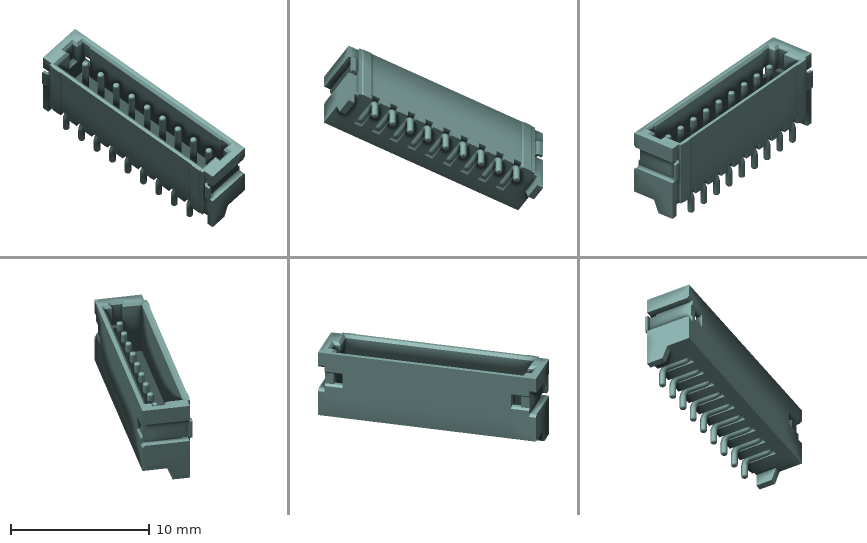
import cadquery as cq

LENGTH = 16.42
DEPTH = 3.75
HEIGHT = 6.5
HOUSING_BOTTOM = 1.48
FRONT_WALL_Y = 0.05
END_FACE_Y = 0.23
FRONT_WALL_HALF = 7.4

LEG_BOTTOM = 0.5
LEG_THICKNESS = 0.51
LEG_REAR_TOP_Y = 1.9
LEG_REAR_BOTTOM_Y = 1.51

RIB_INNER = 6.32
RIB_OUTER = 7.18
RIB_FLANK = 0.1

CAVITY_HALF = 7.06
CAVITY_FRONT_Y = 0.48
CAVITY_REAR_Y = 3.28
UPPER_FLOOR = 2.87
LOWER_FLOOR = 2.46
FLOOR_STEP_TOP_Y = 1.87
FLOOR_STEP_BOTTOM_Y = 1.67
PAD_HALF = 6.34
PAD_THICKNESS = 0.05
RIM_CHAMFER = 0.2

POCKET_HALF = 7.5
POCKET_FRONT_Y = 1.85
POCKET_REAR_Y = 2.7
POCKET_FLOOR = 4.61

SLOT_BOTTOM = 3.56
SLOT_TOP = 5.3
SLOT_DEPTH = 0.51
SLOT_REAR_CHAMFER = 0.16
SLOT_MIDDLE = (SLOT_BOTTOM + SLOT_TOP) / 2

WINDOW_BOTTOM = 3.88
WINDOW_TOP = 5.04
WINDOW_BEVEL = 0.15

TAB_THICKNESS = 0.2
TAB_HEIGHT = 1.46
TAB_TIP = 8.08
TAB_BEND = 0.3
TAB_TIP_RADIUS = 0.1
TAB_REAR_Y = 0.99
RELIEF_REAR_Y = 0.77

PIN_COUNT = 9
PIN_PITCH = 1.5
PIN_RADIUS = 0.25
PIN_TIP_FILLET = 0.15
PIN_TOP = 5.71
PIN_REAR_Y = 2.35
PIN_FRONT_Y = PIN_RADIUS
PIN_RUN_Z = 1.63
PIN_FRONT_BEND = 0.53
PIN_REAR_BEND = 0.33
GROOVE_WIDTH = 0.64
GROOVE_TOP = 1.99
GROOVE_REAR_Y = PIN_REAR_Y + GROOVE_WIDTH / 2

HALF = LENGTH / 2
SLOT_FLOOR = HALF - SLOT_DEPTH
TAB_INNER = SLOT_FLOOR - TAB_THICKNESS


def block(x, y, z):
    """Box given by its (low, high) limits along each axis."""
    size = [high - low for low, high in (x, y, z)]
    return cq.Workplane("XY").box(*size, centered=False).translate((x[0], y[0], z[0]))


def both_ends(shape):
    """The shape at the +X end together with its mirror image at the -X end."""
    return shape.union(shape.mirror("YZ"))


def shell():
    body = block((-HALF, HALF), (END_FACE_Y, DEPTH), (HOUSING_BOTTOM, HEIGHT))
    front = block((-FRONT_WALL_HALF, FRONT_WALL_HALF), (FRONT_WALL_Y, DEPTH), (HOUSING_BOTTOM, HEIGHT))
    rib = (
        cq.Workplane("XY", origin=(0, 0, HOUSING_BOTTOM))
        .polyline([
            (RIB_INNER, END_FACE_Y),
            (RIB_INNER, FRONT_WALL_Y),
            (RIB_INNER + RIB_FLANK, 0),
            (RIB_OUTER - RIB_FLANK, 0),
            (RIB_OUTER, FRONT_WALL_Y),
            (RIB_OUTER, END_FACE_Y),
        ])
        .close()
        .extrude(HEIGHT - HOUSING_BOTTOM)
    )
    leg = (
        cq.Workplane("YZ", origin=(HALF - LEG_THICKNESS, 0, 0))
        .polyline([
            (END_FACE_Y, HOUSING_BOTTOM),
            (END_FACE_Y, LEG_BOTTOM),
            (LEG_REAR_BOTTOM_Y, LEG_BOTTOM),
            (LEG_REAR_TOP_Y, HOUSING_BOTTOM),
        ])
        .close()
        .extrude(LEG_THICKNESS)
    )
    return body.union(front).union(both_ends(rib)).union(both_ends(leg))


def rim_bevel(half, front_y, rear_y):
    """Wedge that chamfers the top rim of a rectangular opening at 45 degrees."""
    return (
        cq.Workplane("XY", origin=(0, (front_y + rear_y) / 2, HEIGHT))
        .rect(2 * (half + RIM_CHAMFER), rear_y - front_y + 2 * RIM_CHAMFER)
        .extrude(-RIM_CHAMFER, taper=45)
    )


def cavity():
    pad_y = CAVITY_REAR_Y - PAD_THICKNESS
    space = (
        cq.Workplane("YZ", origin=(-CAVITY_HALF, 0, 0))
        .polyline([
            (CAVITY_FRONT_Y, LOWER_FLOOR),
            (FLOOR_STEP_BOTTOM_Y, LOWER_FLOOR),
            (FLOOR_STEP_TOP_Y, UPPER_FLOOR),
            (CAVITY_REAR_Y, UPPER_FLOOR),
            (CAVITY_REAR_Y, HEIGHT),
            (CAVITY_FRONT_Y, HEIGHT),
        ])
        .close()
        .extrude(2 * CAVITY_HALF)
    )
    pad = block((-PAD_HALF, PAD_HALF), (pad_y, CAVITY_REAR_Y), (UPPER_FLOOR, HEIGHT))
    pockets = block((-POCKET_HALF, POCKET_HALF), (POCKET_FRONT_Y, POCKET_REAR_Y), (POCKET_FLOOR, HEIGHT))
    return (
        space.cut(pad)
        .union(pockets)
        .union(rim_bevel(CAVITY_HALF, CAVITY_FRONT_Y, pad_y))
        .union(rim_bevel(POCKET_HALF, POCKET_FRONT_Y, POCKET_REAR_Y))
    )


def end_slot():
    """Slot through the +X end, flared at the rear and relieved beside the tab."""
    flare_y = DEPTH - SLOT_REAR_CHAMFER
    slot = (
        cq.Workplane("YZ", origin=(SLOT_FLOOR, 0, 0))
        .polyline([
            (0, SLOT_BOTTOM),
            (flare_y, SLOT_BOTTOM),
            (DEPTH, SLOT_BOTTOM - SLOT_REAR_CHAMFER),
            (DEPTH, SLOT_TOP + SLOT_REAR_CHAMFER),
            (flare_y, SLOT_TOP),
            (0, SLOT_TOP),
        ])
        .close()
        .extrude(SLOT_DEPTH)
    )
    tab_half = TAB_HEIGHT / 2
    slope = SLOT_TOP - SLOT_MIDDLE - tab_half
    relief = (
        cq.Workplane("YZ", origin=(TAB_INNER, 0, 0))
        .polyline([
            (0, SLOT_BOTTOM),
            (RELIEF_REAR_Y, SLOT_BOTTOM),
            (RELIEF_REAR_Y - slope, SLOT_MIDDLE - tab_half),
            (RELIEF_REAR_Y - slope, SLOT_MIDDLE + tab_half),
            (RELIEF_REAR_Y, SLOT_TOP),
            (0, SLOT_TOP),
        ])
        .close()
        .extrude(TAB_THICKNESS)
    )
    return slot.union(relief)


def rear_window():
    """Opening from the cavity through the rear wall, with a bevelled recess reaching the slot."""
    bevel_y = DEPTH - WINDOW_BEVEL
    recess = (
        cq.Workplane("YZ", origin=(PAD_HALF, 0, 0))
        .polyline([
            (DEPTH, WINDOW_BOTTOM),
            (DEPTH, WINDOW_TOP),
            (bevel_y, WINDOW_TOP - WINDOW_BEVEL),
            (bevel_y, WINDOW_BOTTOM + WINDOW_BEVEL),
        ])
        .close()
        .extrude(SLOT_FLOOR - PAD_HALF)
    )
    opening = block(
        (PAD_HALF, CAVITY_HALF),
        (CAVITY_REAR_Y, DEPTH),
        (WINDOW_BOTTOM + WINDOW_BEVEL, WINDOW_TOP - WINDOW_BEVEL),
    )
    return recess.union(opening)


def tab():
    """Sheet metal tab at the +X end, bent outward at the front."""
    inner_bend = TAB_BEND - TAB_THICKNESS
    bend_x = TAB_INNER + TAB_BEND
    return (
        cq.Workplane("XY", origin=(0, 0, SLOT_MIDDLE - TAB_HEIGHT / 2))
        .moveTo(TAB_INNER, TAB_REAR_Y)
        .lineTo(TAB_INNER, TAB_BEND)
        .radiusArc((bend_x, 0), -TAB_BEND)
        .lineTo(TAB_TIP, 0)
        .lineTo(TAB_TIP, TAB_THICKNESS)
        .lineTo(bend_x, TAB_THICKNESS)
        .radiusArc((SLOT_FLOOR, TAB_BEND), inner_bend)
        .lineTo(SLOT_FLOOR, TAB_REAR_Y)
        .close()
        .extrude(TAB_HEIGHT)
        .faces(">X")
        .edges("|Y")
        .fillet(TAB_TIP_RADIUS)
    )


def pin():
    """Round pin: up through the floor, forward under it and down past the front."""
    path = (
        cq.Workplane("YZ")
        .moveTo(PIN_FRONT_Y, 0)
        .lineTo(PIN_FRONT_Y, PIN_RUN_Z - PIN_FRONT_BEND)
        .radiusArc((PIN_FRONT_Y + PIN_FRONT_BEND, PIN_RUN_Z), PIN_FRONT_BEND)
        .lineTo(PIN_REAR_Y - PIN_REAR_BEND, PIN_RUN_Z)
        .radiusArc((PIN_REAR_Y, PIN_RUN_Z + PIN_REAR_BEND), -PIN_REAR_BEND)
        .lineTo(PIN_REAR_Y, PIN_TOP)
    )
    return (
        cq.Workplane("XY", origin=(0, PIN_FRONT_Y, 0))
        .circle(PIN_RADIUS)
        .sweep(path)
        .faces("<Z or >Z")
        .edges()
        .fillet(PIN_TIP_FILLET)
    )


def groove():
    """Groove in the underside that holds one pin."""
    side = GROOVE_WIDTH / 2
    return block((-side, side), (0, GROOVE_REAR_Y), (HOUSING_BOTTOM, GROOVE_TOP))


pin_places = [((i - (PIN_COUNT - 1) / 2) * PIN_PITCH, 0, 0) for i in range(PIN_COUNT)]

result = shell().cut(cavity()).cut(both_ends(end_slot())).cut(both_ends(rear_window()))
for place in pin_places:
    result = result.cut(groove().translate(place))
for place in pin_places:
    result = result.union(pin().translate(place))
result = result.union(both_ends(tab()))